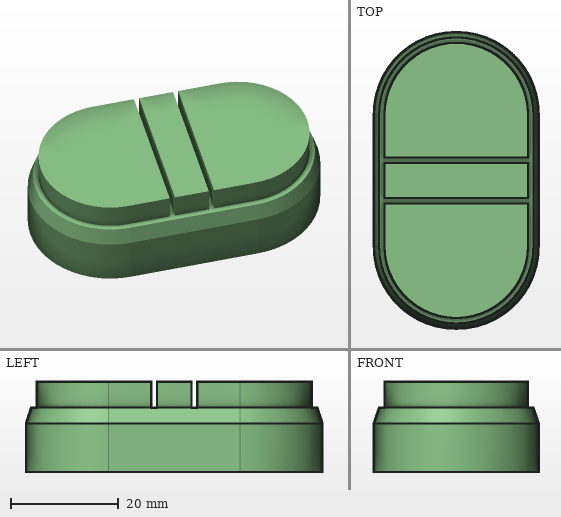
import cadquery as cq

base_width = 30.7
base_length = 55.2
total_height = 16.8
wall_height = 9.0
shoulder_height = 3.0
shoulder_inset = 1.0
ledge_width = 1.0
bar_length = 6.5
gap_width = 1.0

base_height = wall_height + shoulder_height
pad_height = total_height - base_height
pad_inset = shoulder_inset + ledge_width
pad_width = base_width - 2 * pad_inset
pad_length = base_length - 2 * pad_inset
gap_offset = (bar_length + gap_width) / 2


def make_base():
    """Stadium-shaped base, long along Y, with a sloped shoulder at its top edge."""
    base = cq.Workplane("XY").slot2D(base_length, base_width, 90).extrude(base_height)
    return base.faces(">Z").edges().chamfer(shoulder_height, shoulder_inset)


def make_pads():
    """Raised stadium standing on the base top."""
    return (
        cq.Workplane("XY")
        .workplane(offset=base_height)
        .slot2D(pad_length, pad_width, 90)
        .extrude(pad_height)
    )


def make_gaps():
    """Two slots across X that split the raised stadium into three pads."""
    return (
        cq.Workplane("XY")
        .workplane(offset=base_height)
        .pushPoints([(0, -gap_offset), (0, gap_offset)])
        .rect(base_width, gap_width)
        .extrude(pad_height)
    )


result = make_base().union(make_pads()).cut(make_gaps())